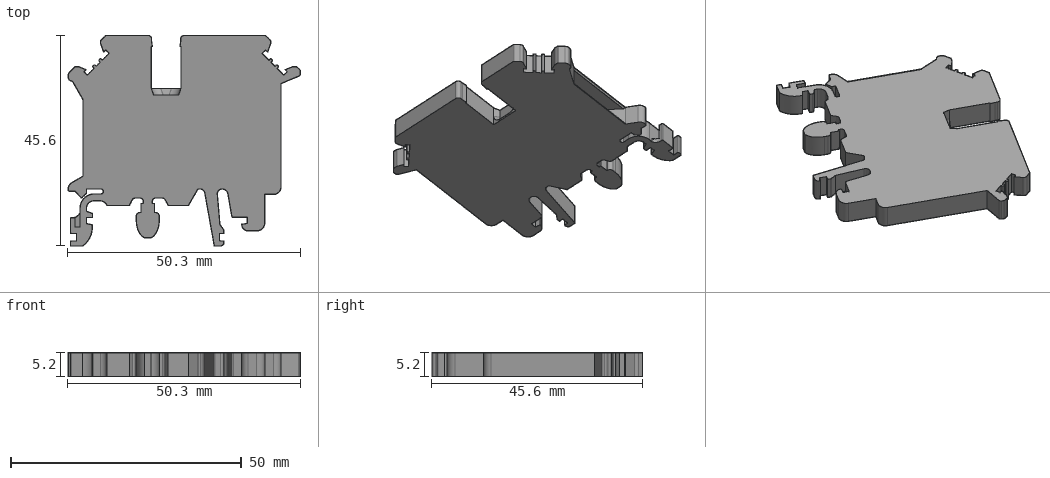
import cadquery as cq
import math


LENGTH = 50.3
HEIGHT = 45.6
THICKNESS = 5.2

BODY_LEFT = 3.2
BODY_RIGHT = 46.1
BASE_Y = 8.75
LEG_ROOT_Y = 12.3
HOOK_TOP_Y = 2.7
HOOK_BOTTOM_Y = 1.1

SEAT_AXIS = 25.45
SEAT_CORNER = (4.2, 37.0)
SEAT_LENGTH = 6.65
SEAT_DEPTH = 1.0
SEAT_LIP = 0.65
RIB_SPACING = 1.85
RIB_WIDTH = 0.65
RIB_HEIGHT = 0.55
RIB_RADIUS = 0.2

SLOT_X = 21.25
SLOT_HALF_WIDTH = 3.2
SLOT_FLOOR_Y = 34.15
SLOT_MOUTH_RADIUS = 0.8
LIP_START_Y = 44.3
LIP_END_Y = 43.15
LIP_MOUTH_HALF_WIDTH = 3.1
LIP_HALF_WIDTH = 2.95

RECESS_DEPTH = 1.45
RECESS_TAPER = 0.5
RECESS_FLOOR_Z = 0.5
RECESS_CORNER_RADIUS = 2.05

POCKET_BOTTOM_Y = 15.15
POCKET_TOP_Y = 31.7
POCKET_DEPTH = 5.3
POCKET_TOP_RUN = 5.8
POCKET_BOTTOM_RUN = 4.35
POCKET_HEIGHT = 4.2
POCKET_FLARE = 0.325

FOOT_X = 17.25
NECK_HALF_WIDTH = 1.0
STEM_HALF_WIDTH = 1.5
NECK_TOP_Y = 10.35
NECK_BOTTOM_Y = 9.25
NECK_ROOT_RADIUS = 0.65
BULB_TOP_Y = 7.3
BULB_SIDE_Y = 5.65
BULB_BOTTOM_Y = 1.75
BULB_HALF_WIDTH = 2.5
BULB_HALF_HEIGHT = 4.0
BULB_SHOULDER_RADIUS = 0.85

CLIP_LEFT = 0.5
ARM_OUTER_X = 2.55
ARM_INNER_X = 4.0
CLIP_SLOT_WIDTH = 1.1
CLIP_SLOT_BOTTOM_Y = 4.2
CLIP_SLOT_TOP_Y = 7.55
CLIP_CORNER_RADIUS = 0.2
CLIP_TOOTH_RADIUS = 0.35
CLIP_WEB_THICKNESS = 1.1


def corner_arc(previous, corner, following, radius):
    """Start, middle and end of the arc that rounds a corner."""
    to_previous = (cq.Vector(*previous) - cq.Vector(*corner)).normalized()
    to_following = (cq.Vector(*following) - cq.Vector(*corner)).normalized()
    half_angle = to_previous.getAngle(to_following) / 2
    setback = radius / math.tan(half_angle)
    bisector = (to_previous + to_following).normalized()
    tip = cq.Vector(*corner)
    middle = tip + bisector * (radius / math.sin(half_angle) - radius)
    return tip + to_previous * setback, middle, tip + to_following * setback


def rounded_plate(corners):
    """Full-thickness plate from corners (x, y) or (x, y, rounding radius)."""
    places = [corner[:2] for corner in corners]
    wire = None
    for i, corner in enumerate(corners):
        if len(corner) == 3:
            following = places[(i + 1) % len(places)]
            start, middle, end = corner_arc(places[i - 1], places[i], following, corner[2])
        else:
            start = middle = end = cq.Vector(*corner)
        if wire is None:
            wire = cq.Workplane("XY").moveTo(start.x, start.y)
        else:
            wire = wire.lineTo(start.x, start.y)
        if len(corner) == 3:
            wire = wire.threePointArc((middle.x, middle.y), (end.x, end.y))
    return wire.close().extrude(THICKNESS)


def mirrored(corners, axis_x):
    """Corners mirrored about a vertical axis, in reverse order."""
    return [(2 * axis_x - x, *rest) for x, *rest in reversed(corners)]


def label_seat():
    """Corners of the left 45-degree label seat, from its lower to its upper lip."""
    middle = SEAT_LENGTH / 2
    local = [(SEAT_LIP, SEAT_DEPTH), (0, SEAT_DEPTH), (0, 0)]
    for rib in (middle - RIB_SPACING / 2, middle + RIB_SPACING / 2):
        low = rib - RIB_WIDTH / 2
        high = rib + RIB_WIDTH / 2
        local += [(low, 0), (low, RIB_HEIGHT, RIB_RADIUS), (high, RIB_HEIGHT, RIB_RADIUS), (high, 0)]
    local += [(SEAT_LENGTH, 0), (SEAT_LENGTH, SEAT_DEPTH), (SEAT_LENGTH - SEAT_LIP, SEAT_DEPTH)]
    slope = math.sqrt(0.5)
    x0, y0 = SEAT_CORNER
    return [(x0 + (along - out) * slope, y0 + (along + out) * slope, *rest) for along, out, *rest in local]


def slot_side():
    """Corners of the left side of the slot, from the mouth to the floor."""
    return [
        (SLOT_X - LIP_MOUTH_HALF_WIDTH, HEIGHT, SLOT_MOUTH_RADIUS),
        (SLOT_X - LIP_MOUTH_HALF_WIDTH, LIP_START_Y),
        (SLOT_X - LIP_HALF_WIDTH, LIP_END_Y),
        (SLOT_X - SLOT_HALF_WIDTH, LIP_END_Y),
        (SLOT_X - SLOT_HALF_WIDTH, SLOT_FLOOR_Y),
    ]


def foot_side():
    """Corners of the left side of the foot's stem and neck, going up from the bulb."""
    return [
        (FOOT_X - STEM_HALF_WIDTH, BULB_SIDE_Y),
        (FOOT_X - STEM_HALF_WIDTH, NECK_BOTTOM_Y),
        (FOOT_X - NECK_HALF_WIDTH, NECK_BOTTOM_Y),
        (FOOT_X - NECK_HALF_WIDTH, NECK_TOP_Y, NECK_ROOT_RADIUS),
    ]


def housing():
    """Body with wings, seats, slot, spring arm, foot stem, leg and right hook."""
    left_wing = [
        (2.9, 10.35),
        (1.5, 11.8),
        (0, 11.8, 0.4),
        (0, 13.3, 1.6),
        (BODY_LEFT, POCKET_BOTTOM_Y),
        (BODY_LEFT, POCKET_TOP_Y),
    ]
    upper_hook = [(6.85, 44.3, 0.8), (8.2, HEIGHT, 0.25)]
    left_lobe = [(0.9, 35.7, 0.25), (0, 35.7, 0.85), (0, 37.35, 1.3), (1.45, 38.85, 0.35), (2.3, 38.85, 0.5)]
    right_lobe = [(48.6, 38.85, 0.5), (49.5, 38.85, 0.35), (LENGTH, 38.05, 0.35), (LENGTH, 36.9, 0.6)]
    top = (
        left_lobe
        + label_seat()
        + upper_hook
        + slot_side()
        + mirrored(slot_side(), SLOT_X)
        + mirrored(label_seat() + upper_hook, SEAT_AXIS)
        + right_lobe
    )
    right_hook = [
        (BODY_RIGHT, 35.15),
        (BODY_RIGHT, 11.15, 1.65),
        (42.6, 11.15),
        (42.6, 3.25, 1.75),
        (37.55, 3.25, 1.4),
        (37.55, 4.75),
        (38.8, 4.95),
        (38.8, 6.2),
        (35.45, 6.2, 0.45),
        (34.4, LEG_ROOT_Y, 1.2),
    ]
    leg = [
        (32.25, LEG_ROOT_Y, 1.0),
        (32.9, 4.7),
        (33.75, 3.45, 0.3),
        (33.75, HOOK_TOP_Y),
        (32.8, HOOK_TOP_Y),
        (32.8, HOOK_BOTTOM_Y, 0.2),
        (33.75, HOOK_BOTTOM_Y),
        (33.75, 0, 0.75),
        (31.65, 0, 0.15),
        (29.45, LEG_ROOT_Y, 0.95),
        (28.1, LEG_ROOT_Y, 0.25),
        (26.05, BASE_Y),
    ]
    base = (
        [(21.7, BASE_Y), (20.8, NECK_TOP_Y, NECK_ROOT_RADIUS)]
        + mirrored(foot_side(), FOOT_X)
        + foot_side()
        + [(14.1, NECK_TOP_Y, NECK_ROOT_RADIUS), (13.3, BASE_Y)]
    )
    spring_arm = [
        (8.45, BASE_Y),
        (7.8, 9.75, 1.5),
        (ARM_INNER_X, 9.75, 1.5),
        (ARM_INNER_X, CLIP_SLOT_TOP_Y),
        (ARM_OUTER_X, CLIP_SLOT_TOP_Y),
        (ARM_OUTER_X, 11.3, 3.15),
        (7.6, 11.3, 0.4),
        (7.6, LEG_ROOT_Y, 0.4),
        (4.0, LEG_ROOT_Y),
        (4.0, 11.45),
    ]
    return rounded_plate(left_wing + top + right_hook + leg + base + spring_arm)


def foot_bulb():
    """Elliptical bulb at the end of the foot, cut flat at its tip."""
    ellipse = (
        cq.Workplane("XY")
        .center(FOOT_X, BULB_SIDE_Y)
        .ellipse(BULB_HALF_WIDTH, BULB_HALF_HEIGHT)
        .extrude(THICKNESS)
    )
    left = FOOT_X - BULB_HALF_WIDTH
    right = FOOT_X + BULB_HALF_WIDTH
    lower_half = rounded_plate(
        [(left, BULB_SIDE_Y), (right, BULB_SIDE_Y), (right, BULB_BOTTOM_Y), (left, BULB_BOTTOM_Y)]
    ).intersect(ellipse)
    shoulders = rounded_plate(
        [
            (left, BULB_SIDE_Y),
            (left, BULB_TOP_Y, BULB_SHOULDER_RADIUS),
            (right, BULB_TOP_Y, BULB_SHOULDER_RADIUS),
            (right, BULB_SIDE_Y),
        ]
    )
    return lower_half.union(shoulders)


def clip_head():
    """Hooked head at the end of the spring arm, split by a shallow-floored slot."""
    head = (
        cq.Workplane("XY")
        .moveTo(ARM_OUTER_X, CLIP_SLOT_TOP_Y)
        .lineTo(ARM_OUTER_X, 7.2)
        .threePointArc((2.1, 6.6), (CLIP_LEFT, 6.2))
        .lineTo(CLIP_LEFT, HOOK_TOP_Y)
        .lineTo(1.8, HOOK_TOP_Y)
        .lineTo(1.8, HOOK_BOTTOM_Y)
        .lineTo(CLIP_LEFT, HOOK_BOTTOM_Y)
        .lineTo(CLIP_LEFT, 0)
        .lineTo(3.15, 0)
        .threePointArc((4.55, 1.45), (5.25, 4.65))
        .lineTo(ARM_INNER_X, 4.9)
        .lineTo(ARM_INNER_X, 6.15)
        .lineTo(5.35, 6.15)
        .lineTo(5.35, 7.05)
        .lineTo(ARM_INNER_X, CLIP_SLOT_TOP_Y)
        .close()
        .extrude(THICKNESS)
    )
    head = head.edges("|Z and <X").fillet(CLIP_CORNER_RADIUS)
    tooth_edge = cq.selectors.NearestToPointSelector((5.35, 7.05, THICKNESS / 2))
    head = head.edges(tooth_edge).fillet(CLIP_TOOTH_RADIUS)
    slot = cq.Workplane("XY").box(
        CLIP_SLOT_WIDTH, CLIP_SLOT_TOP_Y - CLIP_SLOT_BOTTOM_Y, THICKNESS, centered=False
    )
    slot_place = (ARM_OUTER_X - CLIP_SLOT_WIDTH, CLIP_SLOT_BOTTOM_Y, CLIP_WEB_THICKNESS)
    return head.cut(slot.translate(slot_place))


def recess_section(inset):
    """U-shaped wire of the recess, open upward past the top face, shrunk by an inset."""
    half_width = SLOT_HALF_WIDTH - inset
    floor = RECESS_FLOOR_Z + inset
    radius = RECESS_CORNER_RADIUS
    bend = radius * (1 - math.sqrt(0.5))
    flat = half_width - radius
    section = (
        cq.Workplane("XZ", origin=(SLOT_X, SLOT_FLOOR_Y - inset * RECESS_DEPTH / RECESS_TAPER, 0))
        .moveTo(-half_width, THICKNESS)
        .lineTo(-half_width, floor + radius)
        .threePointArc((bend - half_width, floor + bend), (-flat, floor))
        .lineTo(flat, floor)
        .threePointArc((half_width - bend, floor + bend), (half_width, floor + radius))
        .lineTo(half_width, THICKNESS)
        .close()
    )
    return section.wires().val()


def screw_recess():
    """Tapered recess in the slot floor, open at the top face."""
    return cq.Workplane(cq.Solid.makeLoft([recess_section(0), recess_section(RECESS_TAPER)], True))


def wire_pocket():
    """Side pocket with slanted end walls and a flared mouth along both faces."""
    back_x = BODY_LEFT + POCKET_DEPTH
    plan = (
        cq.Workplane("XY")
        .polyline(
            [
                (BODY_LEFT, POCKET_BOTTOM_Y),
                (BODY_LEFT, POCKET_TOP_Y),
                (back_x, POCKET_TOP_Y - POCKET_TOP_RUN),
                (back_x, POCKET_BOTTOM_Y + POCKET_BOTTOM_RUN),
            ]
        )
        .close()
        .extrude(THICKNESS)
    )
    low = (THICKNESS - POCKET_HEIGHT) / 2
    high = THICKNESS - low
    profile = (
        cq.Workplane("XZ", origin=(0, POCKET_TOP_Y, 0))
        .polyline(
            [
                (BODY_LEFT, low - POCKET_FLARE),
                (BODY_LEFT + POCKET_FLARE, low),
                (back_x, low),
                (back_x, high),
                (BODY_LEFT + POCKET_FLARE, high),
                (BODY_LEFT, high + POCKET_FLARE),
            ]
        )
        .close()
        .extrude(POCKET_TOP_Y - POCKET_BOTTOM_Y)
    )
    return plan.intersect(profile)


result = (
    housing()
    .union(foot_bulb())
    .union(clip_head())
    .cut(screw_recess())
    .cut(wire_pocket())
)